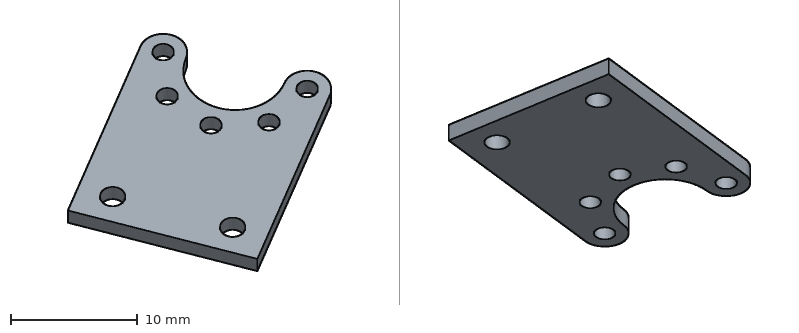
import cadquery as cq
import math

thickness = 1.5
hole_circle_radius = 6.0
ear_radius = 1.9
centre_to_bottom_edge = 18.0

circle_hole_diameter = 1.7
circle_hole_count = 5
circle_hole_step = 180 / (circle_hole_count - 1)

mount_hole_diameter = 2.0
mount_hole_spacing = 10.0
mount_hole_edge_distance = 2.5

half_width = hole_circle_radius + ear_radius
notch_radius = hole_circle_radius - ear_radius
bottom_y = -centre_to_bottom_edge
mount_hole_y = bottom_y + mount_hole_edge_distance


def make_plate():
    """Plate with two rounded ears flanking a semicircular notch."""
    return (
        cq.Workplane("XY")
        .moveTo(-half_width, bottom_y)
        .lineTo(half_width, bottom_y)
        .lineTo(half_width, 0)
        .threePointArc((hole_circle_radius, ear_radius), (notch_radius, 0))
        .threePointArc((0, -notch_radius), (-notch_radius, 0))
        .threePointArc((-hole_circle_radius, ear_radius), (-half_width, 0))
        .close()
        .extrude(thickness)
    )


def hole_cutter(centres, diameter):
    """Cylinders through the plate thickness at the given centres."""
    return cq.Workplane("XY").pushPoints(centres).circle(diameter / 2).extrude(thickness)


def circle_hole_centre(index):
    """Centre of one hole on the hole circle, counted from the left ear."""
    angle = math.radians(180 + index * circle_hole_step)
    return (hole_circle_radius * math.cos(angle), hole_circle_radius * math.sin(angle))


circle_hole_centres = [circle_hole_centre(index) for index in range(circle_hole_count)]
mount_hole_centres = [(side * mount_hole_spacing / 2, mount_hole_y) for side in (-1, 1)]

result = (
    make_plate()
    .cut(hole_cutter(circle_hole_centres, circle_hole_diameter))
    .cut(hole_cutter(mount_hole_centres, mount_hole_diameter))
)